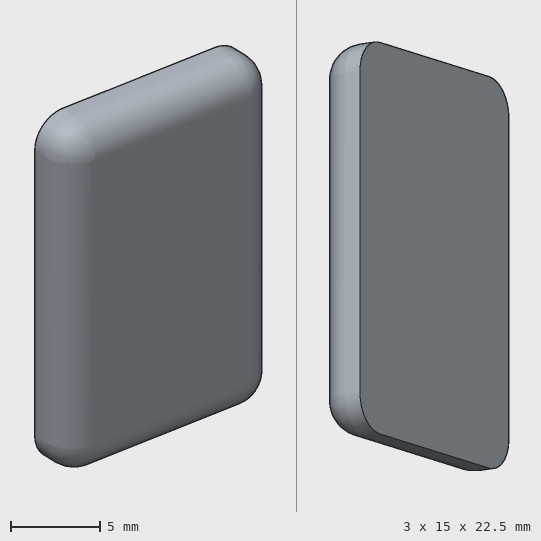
import cadquery as cq

height = 22.5
width = 15.0
thickness = 3.0
straight_rim = 1.0
corner_margin = 0.02

edge_radius = thickness - straight_rim
corner_radius = edge_radius + corner_margin

plate = (
    cq.Workplane("YZ")
    .rect(width, height)
    .extrude(thickness)
    .edges("|X")
    .fillet(corner_radius)
)

result = plate.faces(">X").edges().fillet(edge_radius)